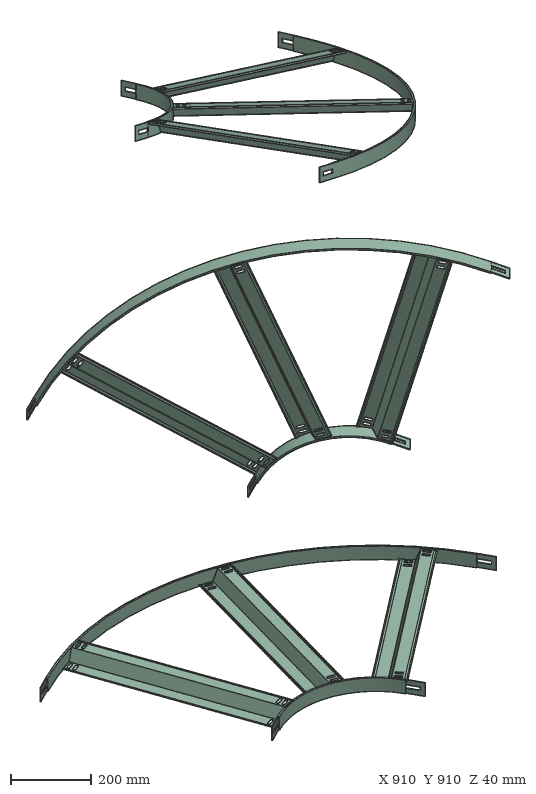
import math

import cadquery as cq

outer_reach = 910.0
rail_gap = 598.0
rail_height = 40.0
rail_thickness = 5.5
end_thickness = 3.0
straight_length = 50.0

end_slot_start = 13.0
end_slot_height = 10.0

rung_angles = (10, 45, 80)
rung_thickness = 1.5
rung_clearance = 2.0
web_half_run = 6.8
plate_edge = 40.0
lip_edge = 48.0
lip_rise = 4.0

rung_slot_length = 22.0
rung_slot_width = 7.0
rung_slot_inset = 10.0
rung_slot_pitch = 16.0

outer_radius = outer_reach - straight_length
outer_rail_inside = outer_radius - rail_thickness
inner_rail_outside = outer_rail_inside - rail_gap


def make_rail(radius):
    """Thick quarter bend with thin straight ends, all flush on the convex side of the given radius."""
    face = straight_length + radius
    bend = cq.Workplane("XY").circle(radius).circle(radius - rail_thickness).extrude(rail_height)
    quadrant = cq.Workplane("XY").rect(radius, radius, centered=False).extrude(rail_height)
    rail = bend.intersect(quadrant).translate((straight_length, straight_length, 0))

    end_size = (straight_length, end_thickness, rail_height)
    slot_size = (straight_length - end_slot_start, end_thickness, end_slot_height)
    end = cq.Workplane("XY").box(*end_size, centered=False)
    slot = cq.Workplane("XY").box(*slot_size, centered=False)
    end = end.cut(slot.translate((end_slot_start, 0, (rail_height - end_slot_height) / 2)))
    x_end = end.translate((0, face - end_thickness, 0))
    y_end = x_end.mirror("XY").rotate((0, 0, 0), (1, 1, 0), 180)
    return rail.union(x_end).union(y_end)


def rung_section():
    """Z outline of even sheet thickness: low plate at +across, high plate at -across, lips outside."""
    bottom = rung_clearance
    top = rail_height - rung_clearance
    lip_slope = math.atan2(lip_rise, lip_edge - plate_edge)
    web_slope = math.atan2(top - bottom - rung_thickness, 2 * web_half_run)
    lip_setback = rung_thickness * math.tan(lip_slope / 2)
    web_shift = rung_thickness * math.tan(web_slope / 2) / 2
    level_tip = rung_thickness / math.sin(lip_slope)
    upper_face = [
        (lip_edge - level_tip, bottom + lip_rise),
        (plate_edge - lip_setback, bottom + rung_thickness),
        (web_half_run + web_shift, bottom + rung_thickness),
        (-web_half_run + web_shift, top),
        (-plate_edge, top),
        (-lip_edge, top - lip_rise),
    ]
    lower_face = [(-across, rail_height - height) for across, height in upper_face]
    return upper_face + lower_face


def rung_slots():
    """Cutters for two crosswise slots at each end of both plates."""
    plate_middle = (web_half_run + plate_edge) / 2
    slot_places = []
    for inset in (rung_slot_inset, rung_slot_inset + rung_slot_pitch):
        for along in (inner_rail_outside + inset, outer_rail_inside - inset):
            slot_places += [(along, plate_middle), (along, -plate_middle)]
    return (
        cq.Workplane("XY")
        .pushPoints(slot_places)
        .slot2D(rung_slot_length, rung_slot_width, 90)
        .extrude(rail_height)
    )


def make_rung(angle):
    """Rung running outward along its angle from the centre of the bend."""
    rung = cq.Workplane("YZ").polyline(rung_section()).close().extrude(outer_radius)
    span = cq.Workplane("XY").circle(outer_rail_inside).circle(inner_rail_outside).extrude(rail_height)
    rung = rung.cut(rung_slots()).intersect(span)
    return rung.rotate((0, 0, 0), (0, 0, 1), angle).translate((straight_length, straight_length, 0))


outer_rail = make_rail(outer_radius)
inner_rail = make_rail(inner_rail_outside)
rungs = [make_rung(angle).cut(inner_rail) for angle in rung_angles]

result = cq.Compound.makeCompound(
    [outer_rail.val(), inner_rail.val(), *[rung.val() for rung in rungs]]
)